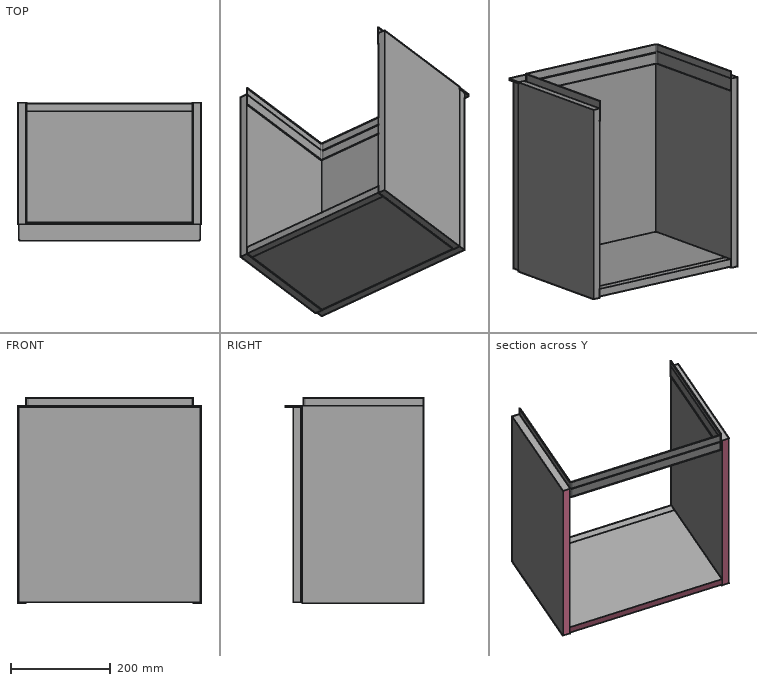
import cadquery as cq

WIDTH = 370.0
DEPTH = 279.5
HEIGHT = 415.0

BOARD = 16.0
SIDE_DEPTH = 245.5
RIM_RISE = 15.5
SIDE_HEIGHT = HEIGHT - RIM_RISE
INNER_WIDTH = WIDTH - 2 * BOARD
BASE_CLEARANCE = 2.0
REAR_SETBACK = 1.5

RIM_HEIGHT = 41.0
RIM_THICKNESS = 1.5
RIM_RADIUS = 3.5
RIM_SETBACK = 2.0

FRONT_GAP = 1.5
FRONT_INSET = 1.5
FRONT_WIDTH = WIDTH - 2 * FRONT_INSET
LIP_THICKNESS = 3.5
LIP_BOTTOM_Z = SIDE_HEIGHT - LIP_THICKNESS
LIP_RADIUS = 4.0

SIDE_FRONT_Y = -SIDE_DEPTH
RIM_FRONT_Y = SIDE_FRONT_Y + RIM_SETBACK
FRONT_BACK_Y = SIDE_FRONT_Y - FRONT_GAP
RAIL_FRONT_Y = -REAR_SETBACK - BOARD


def block(width, front_y, back_y, bottom_z, top_z, center_x=0):
    """Box centred on center_x and bounded by the given Y and Z planes."""
    return (
        cq.Workplane("XY")
        .box(width, back_y - front_y, top_z - bottom_z, centered=(True, False, False))
        .translate((center_x, front_y, bottom_z))
    )


def make_side(direction):
    """Side board at the -X (-1) or +X (+1) end."""
    center_x = direction * (WIDTH - BOARD) / 2
    return block(BOARD, SIDE_FRONT_Y, 0, 0, SIDE_HEIGHT, center_x)


def make_floor():
    """Floor board, from the front ends of the side boards to the rear rail."""
    return block(INNER_WIDTH, SIDE_FRONT_Y, RAIL_FRONT_Y, BASE_CLEARANCE, BASE_CLEARANCE + BOARD)


def make_rear_rail():
    """Rail behind the floor, flush with its top."""
    return block(INNER_WIDTH, RAIL_FRONT_Y, -REAR_SETBACK, BASE_CLEARANCE, BASE_CLEARANCE + BOARD)


def make_rim():
    """Sheet bent around the left, front and right, with rounded front corners."""
    bottom_z = HEIGHT - RIM_HEIGHT
    outer = block(INNER_WIDTH, RIM_FRONT_Y, 0, bottom_z, HEIGHT)
    outer = outer.edges("|Z and <Y").fillet(RIM_RADIUS)
    inner_front_y = RIM_FRONT_Y + RIM_THICKNESS
    inner = block(INNER_WIDTH - 2 * RIM_THICKNESS, inner_front_y, 0, bottom_z, HEIGHT)
    inner = inner.edges("|Z and <Y").fillet(RIM_RADIUS - RIM_THICKNESS)
    return outer.cut(inner)


def make_lip():
    """Handle plate over the front board, with a narrower, thinner neck back to the rim."""
    plate = block(FRONT_WIDTH, -DEPTH, SIDE_FRONT_Y, LIP_BOTTOM_Z, SIDE_HEIGHT)
    plate = plate.edges("|Z and <Y").fillet(LIP_RADIUS)
    neck_width = INNER_WIDTH - 2 * RIM_RADIUS
    neck_top_z = LIP_BOTTOM_Z + RIM_THICKNESS
    neck = block(neck_width, SIDE_FRONT_Y, RIM_FRONT_Y, LIP_BOTTOM_Z, neck_top_z)
    return plate.union(neck)


def make_trim():
    """Rim and handle lip as one piece."""
    return make_rim().union(make_lip())


def make_front():
    """Front board under the handle lip."""
    return block(FRONT_WIDTH, FRONT_BACK_Y - BOARD, FRONT_BACK_Y, BASE_CLEARANCE, LIP_BOTTOM_Z)


sides = [make_side(direction) for direction in (-1, 1)]
floor = make_floor()
rear_rail = make_rear_rail()
trim = make_trim()
front = make_front()

result = cq.Compound.makeCompound(
    [*(side.val() for side in sides), floor.val(), rear_rail.val(), trim.val(), front.val()]
)